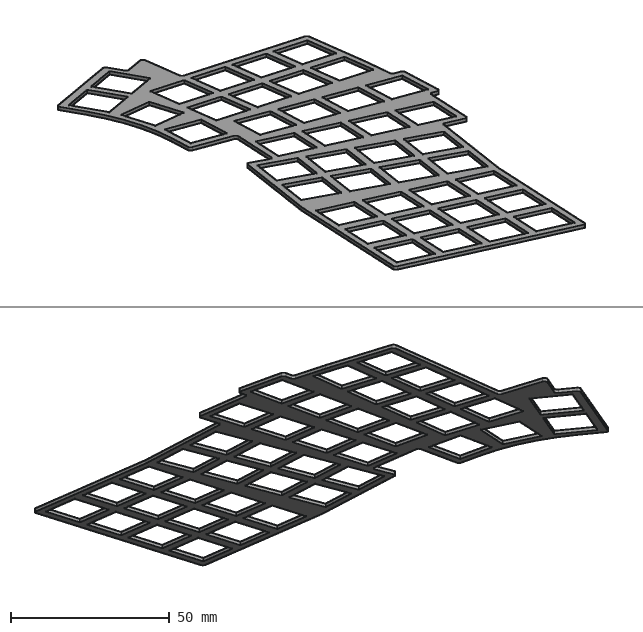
import cadquery as cq
import math

THICKNESS = 1.2
OPENING = 14.0
COLUMN_PITCH = 18.0
ROW_PITCH = 17.0
BORDER = 1.03
CORNER_RADIUS = 1.0
ROWS = 4

EDGE_X = COLUMN_PITCH / 2 + BORDER
EDGE_Y = ROW_PITCH / 2 + BORDER

INNER = ((-58.6, 15.2), 0, 2)
INDEX = ((-28.8, 18.4), -5, 1)
MIDDLE = ((-8.7, 11.5), -10, 1)
RING = ((18.0, -4.5), -15, 2)
OUTER = ((65.0, -14.6), -10, 3)
FINGER_GROUPS = (INNER, INDEX, MIDDLE, RING, OUTER)

THUMB_PIVOT = (-46.5, -104.6)
THUMB_RADIUS = 76.8
THUMB_TILTS = (-5, 10, 25)

INNER_TOP_TILT = -2
SPUR_OFFSET = 2.0


def shift(origin, tilt, across, along):
    """Point reached from origin by moving in axes turned by tilt degrees."""
    c = math.cos(math.radians(tilt))
    s = math.sin(math.radians(tilt))
    return (origin[0] + across * c - along * s, origin[1] + across * s + along * c)


def meet(line_a, line_b):
    """Crossing point of two lines, each given as (point, direction in degrees)."""
    (ax, ay), angle_a = line_a
    (bx, by), angle_b = line_b
    ux, uy = math.cos(math.radians(angle_a)), math.sin(math.radians(angle_a))
    vx, vy = math.cos(math.radians(angle_b)), math.sin(math.radians(angle_b))
    travel = ((bx - ax) * vy - (by - ay) * vx) / (ux * vy - uy * vx)
    return (ax + travel * ux, ay + travel * uy)


def group_side(group, side):
    """Plate edge line along the left (-1) or right (+1) side of a finger group."""
    centre, tilt, columns = group
    reach = (columns - 1) * COLUMN_PITCH / 2 + EDGE_X
    return (shift(centre, tilt, side * reach, 0), tilt + 90)


def group_end(group, end):
    """Plate edge line along the bottom (-1) or top (+1) end of a finger group."""
    centre, tilt, _ = group
    reach = (ROWS - 1) * ROW_PITCH / 2 + EDGE_Y
    return (shift(centre, tilt, 0, end * reach), tilt)


def thumb_point(tilt, across, along):
    """Point placed relative to the centre of the thumb key at the given tilt."""
    return shift(THUMB_PIVOT, tilt, across, THUMB_RADIUS + along)


def inner_top_bend():
    """Point above the inner group's last column where the top edge starts to fall."""
    centre, tilt, columns = INNER
    across = (columns - 1) * COLUMN_PITCH / 2
    return shift(centre, tilt, across, (ROWS - 1) * ROW_PITCH / 2 + EDGE_Y)


def plate_blank():
    right_tilt, middle_tilt, left_tilt = THUMB_TILTS
    thumb_right = (thumb_point(right_tilt, EDGE_X, 0), right_tilt + 90)
    thumb_top = (thumb_point(left_tilt, 0, ROW_PITCH + EDGE_Y), left_tilt)
    spur_side = (thumb_point(left_tilt, -SPUR_OFFSET, 0), left_tilt + 90)
    spur_top = (shift(INNER[0], INNER[1], 0, -ROW_PITCH), INNER[1])
    inner_fall = (inner_top_bend(), INNER_TOP_TILT)

    outline = (
        cq.Workplane("XY")
        .moveTo(*thumb_point(left_tilt, 0, -EDGE_Y))
        .lineTo(*thumb_point(left_tilt, -EDGE_X, -EDGE_Y))
        .lineTo(*thumb_point(left_tilt, -EDGE_X, ROW_PITCH + EDGE_Y))
        .lineTo(*meet(thumb_top, spur_side))
        .lineTo(*meet(spur_side, spur_top))
        .lineTo(*meet(spur_top, group_side(INNER, -1)))
        .lineTo(*meet(group_side(INNER, -1), group_end(INNER, 1)))
        .lineTo(*inner_top_bend())
        .lineTo(*meet(inner_fall, group_side(INDEX, -1)))
        .lineTo(*meet(group_side(INDEX, -1), group_end(INDEX, 1)))
        .lineTo(*meet(group_end(INDEX, 1), group_side(INDEX, 1)))
        .lineTo(*meet(group_side(INDEX, 1), group_end(MIDDLE, 1)))
        .lineTo(*meet(group_end(MIDDLE, 1), group_side(MIDDLE, 1)))
        .lineTo(*meet(group_side(MIDDLE, 1), group_end(RING, 1)))
        .lineTo(*meet(group_end(RING, 1), group_end(OUTER, 1)))
        .lineTo(*meet(group_end(OUTER, 1), group_side(OUTER, 1)))
        .lineTo(*meet(group_side(OUTER, 1), group_end(OUTER, -1)))
        .lineTo(*meet(group_end(OUTER, -1), group_end(RING, -1)))
        .lineTo(*meet(group_end(RING, -1), group_side(RING, -1)))
        .lineTo(*meet(group_side(RING, -1), group_end(MIDDLE, -1)))
        .lineTo(*meet(group_end(MIDDLE, -1), thumb_right))
        .lineTo(*thumb_point(right_tilt, EDGE_X, -EDGE_Y))
        .lineTo(*thumb_point(right_tilt, 0, -EDGE_Y))
        .threePointArc(thumb_point(middle_tilt, 0, -EDGE_Y), thumb_point(left_tilt, 0, -EDGE_Y))
        .close()
    )
    return outline.extrude(THICKNESS)


def round_corners(blank):
    """Round every upright edge except the two arc ends and the slight bend in the top edge."""
    plain = [thumb_point(tilt, 0, -EDGE_Y) for tilt in (THUMB_TILTS[0], THUMB_TILTS[-1])]
    plain.append(inner_top_bend())

    def is_corner(edge):
        spot = edge.Center()
        return all(math.dist((spot.x, spot.y), point) > CORNER_RADIUS for point in plain)

    corners = [edge for edge in blank.edges("|Z").vals() if is_corner(edge)]
    return blank.newObject(corners).fillet(CORNER_RADIUS)


def key_positions():
    """Centre and tilt of every key."""
    keys = []
    for centre, tilt, columns in FINGER_GROUPS:
        for column in range(columns):
            for row in range(ROWS):
                across = (column - (columns - 1) / 2) * COLUMN_PITCH
                along = (row - (ROWS - 1) / 2) * ROW_PITCH
                keys.append((shift(centre, tilt, across, along), tilt))
    for tilt in THUMB_TILTS:
        keys.append((thumb_point(tilt, 0, 0), tilt))
    keys.append((thumb_point(THUMB_TILTS[-1], 0, ROW_PITCH), THUMB_TILTS[-1]))
    return keys


def switch_opening(centre, tilt):
    cutter = cq.Workplane("XY").rect(OPENING, OPENING).extrude(THICKNESS)
    return cutter.rotate((0, 0, 0), (0, 0, 1), tilt).translate((centre[0], centre[1], 0))


result = round_corners(plate_blank())
for key_centre, key_tilt in key_positions():
    result = result.cut(switch_opening(key_centre, key_tilt))